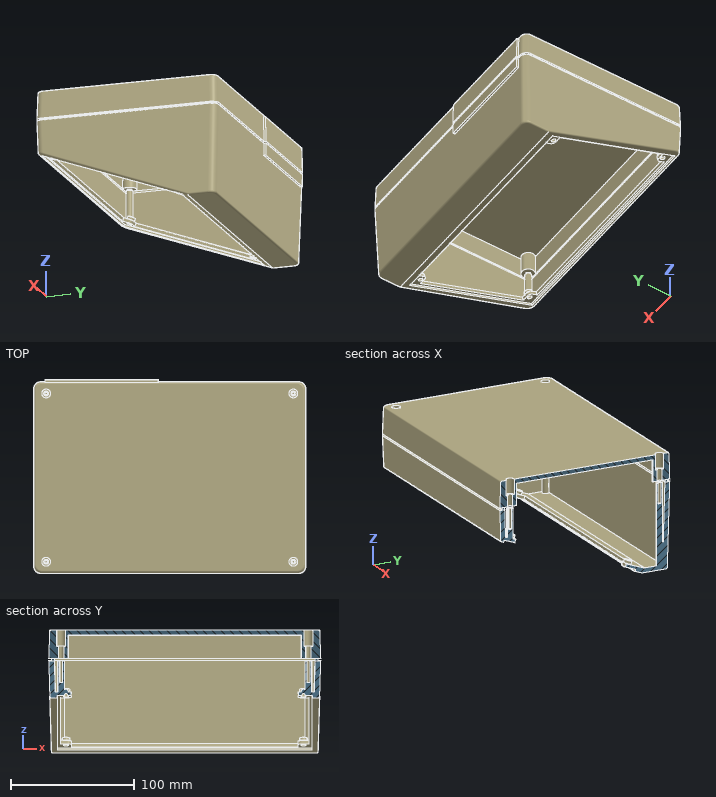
import cadquery as cq
import math

width = 221.0
depth = 155.8
total_height = 100.1
lid_height = 23.5
seam_gap = 1.5
corner_radius = 6.0
draft_angle = 1.7
edge_radius = 1.5
inner_radius = 1.0
wall = 4.9
roof = 4.5

base_rim = total_height - lid_height - seam_gap
lid_rim = base_rim + seam_gap

front_height = 48.2
slope_angle = 20.3
slope_sine = math.sin(math.radians(slope_angle))
slope_cosine = math.cos(math.radians(slope_angle))
front_y = -depth / 2
crease_y = front_y + front_height * slope_cosine / slope_sine

panel_width = 206.9
panel_start = 4.0
panel_end = 131.7
panel_recess = 1.8
side_ledge = 2.5
end_ledge = 2.2
tab_width = 9.0
tab_length = 8.0
tab_corner_radius = 3.0
panel_boss_diameter = 6.5
panel_boss_height = 2.7
panel_hole_diameter = 3.8
panel_hole_inset = 4.6

window_width = panel_width - 2 * side_ledge
window_start = panel_start + end_ledge
window_end = panel_end - end_ledge

screw_spacing_x = 200.7
screw_spacing_y = 136.5
head_diameter = 7.0
head_depth = 13.3
shank_diameter = 4.0
pilot_diameter = 2.2
pilot_depth = 17.7
lid_boss_diameter = 12.0
base_boss_diameter = 5.7

gasket_inset = 2.0

pad_left = -101.5
pad_right = -9.3
pad_bottom = 65.0
pad_top = 97.7
pad_root = 2.2
pad_height = 1.8


def rounded_block(rim_z, end_z, offset=0.0):
    """Drafted block from a rim to its far end, grown (or shrunk) all round by the offset."""
    height = abs(end_z - rim_z)
    toward_end = cq.Plane((0, 0, rim_z), (1, 0, 0), (0, 0, end_z - rim_z))
    return (
        cq.Workplane(toward_end)
        .rect(width + 2 * offset, depth + 2 * offset)
        .extrude(height, taper=draft_angle)
        .edges("not(|X or |Y)")
        .fillet(max(corner_radius + offset, inner_radius))
    )


def slope_plane(lift):
    """Workplane parallel to the slope, moved inward by the lift.

    Its Y runs down the slope from the front edge and its normal points into the base.
    """
    origin = (0, front_y + lift * slope_sine, front_height + lift * slope_cosine)
    return cq.Workplane(cq.Plane(origin, (1, 0, 0), (0, slope_sine, slope_cosine)))


def above_slope(lift):
    """Everything on the inner side of the slope moved inward by the lift."""
    return slope_plane(lift).rect(2 * width, 4 * depth).extrude(2 * total_height)


def with_back_pad(block, rim_z, end_z):
    """Add the part of the raised back pad that belongs to one shell."""
    pad = (
        cq.Workplane("XY")
        .box(pad_right - pad_left, depth, pad_top - pad_bottom, centered=False)
        .translate((pad_left, depth / 2 - pad_root, pad_bottom))
        .intersect(rounded_block(rim_z, end_z, pad_height))
    )
    return block.union(pad)


def posts(diameter, bottom_z, top_z):
    """Four upright cylinders on the lid screw axes."""
    return (
        cq.Workplane("XY", origin=(0, 0, bottom_z))
        .rect(screw_spacing_x, screw_spacing_y, forConstruction=True)
        .vertices()
        .circle(diameter / 2)
        .extrude(top_z - bottom_z)
    )



def make_lid():
    """Drafted cover with counterbored screw holes in four bosses."""
    outer = rounded_block(lid_rim, total_height).faces(">Z").edges().fillet(edge_radius)
    cavity = rounded_block(lid_rim, total_height, -wall).intersect(
        cq.Workplane("XY").box(width, depth, 2 * (total_height - roof))
    )
    lid = with_back_pad(outer, lid_rim, total_height).cut(cavity)
    lid = lid.union(posts(lid_boss_diameter, lid_rim, total_height - roof / 2))
    lid = lid.cut(posts(shank_diameter, lid_rim, total_height))
    return lid.cut(posts(head_diameter, total_height - head_depth, total_height))



def base_outer():
    """Drafted block cut by the slope, its lower rim rounded and the crease in its underside left sharp."""
    block = rounded_block(base_rim, 0).intersect(above_slope(0))
    slope_outward = cq.Vector(0, -slope_sine, -slope_cosine)
    slope_face = cq.selectors.DirectionMinMaxSelector(slope_outward, True)
    reach = edge_radius
    crease = cq.selectors.BoxSelector((-reach, crease_y - reach, -reach), (reach, crease_y + reach, reach))
    lower_edges = block.faces(slope_face).edges().add(block.faces("<Z").edges())
    return lower_edges.edges(cq.selectors.InverseSelector(crease)).fillet(edge_radius)


def base_cavity():
    """Inside of the base, open at the rim."""
    floor = cq.Workplane("XY", origin=(0, 0, roof)).rect(width, depth).extrude(base_rim)
    return rounded_block(base_rim, 0, -wall).intersect(above_slope(wall)).intersect(floor)


def panel_screw_points():
    """Panel screw axes, as points on the slope plane."""
    x = window_width / 2 - panel_hole_inset
    return [(side * x, y) for side in (-1, 1)
            for y in (window_start + panel_hole_inset, window_end - panel_hole_inset)]


def window_prism():
    """Window through the slope, narrowed at its corners by the four screw tabs."""
    length = window_end - window_start
    middle = (window_start + window_end) / 2
    window = slope_plane(0).center(0, middle).rect(window_width, length).extrude(wall)
    for side in (-1, 1):
        for end in (-1, 1):
            tab = (
                slope_plane(0)
                .center(side * (window_width / 2), middle + end * length / 2)
                .rect(2 * tab_width, 2 * tab_length)
                .extrude(wall)
                .edges(cq.selectors.ParallelDirSelector(cq.Vector(0, slope_sine, slope_cosine)))
                .fillet(tab_corner_radius)
            )
            window = window.cut(tab)
    return window


def make_base():
    """Sloped shell with lid screw posts, and a recessed panel opening with four screw tabs."""
    base = with_back_pad(base_outer(), base_rim, 0).cut(base_cavity())
    lid_posts = posts(base_boss_diameter, roof / 2, base_rim).intersect(above_slope(wall / 2))
    base = base.union(lid_posts)
    base = base.cut(posts(pilot_diameter, base_rim - pilot_depth, base_rim))
    bosses = slope_plane(wall).pushPoints(panel_screw_points()).circle(panel_boss_diameter / 2)
    base = base.union(bosses.extrude(panel_boss_height))
    recess = (
        slope_plane(0)
        .center(0, (panel_start + panel_end) / 2)
        .rect(panel_width, panel_end - panel_start)
        .extrude(panel_recess)
    )
    base = base.cut(recess).cut(window_prism())
    holes = slope_plane(0).pushPoints(panel_screw_points()).circle(panel_hole_diameter / 2)
    return base.cut(holes.extrude(wall + panel_boss_height))



def make_gasket():
    """Flat ring in the seam, flush with the inside of the walls."""
    outline = cq.Sketch().rect(width - 2 * gasket_inset, depth - 2 * gasket_inset)
    outline = outline.vertices().fillet(corner_radius - gasket_inset)
    opening = cq.Sketch().rect(width - 2 * wall, depth - 2 * wall).vertices().fillet(inner_radius)
    at_rim = cq.Workplane("XY", origin=(0, 0, base_rim))
    return at_rim.placeSketch(outline).extrude(seam_gap).cut(at_rim.placeSketch(opening).extrude(seam_gap))


lid = make_lid()
base = make_base()
gasket = make_gasket()

result = cq.Compound.makeCompound([
    base.solids().val(),
    lid.solids().val(),
    gasket.solids().val(),
])